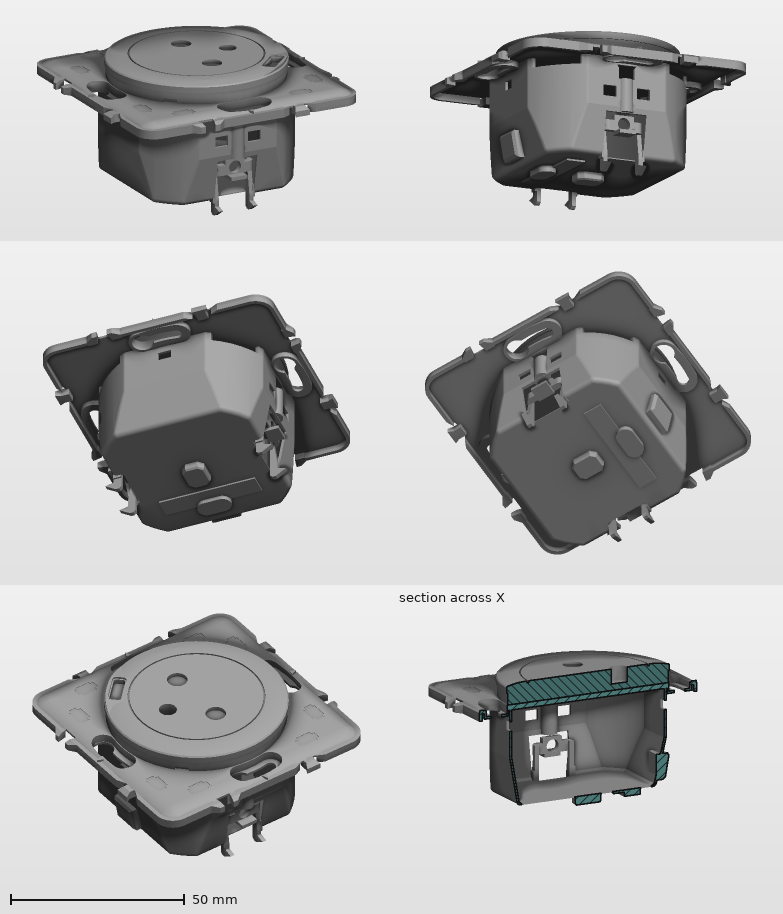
import cadquery as cq
import math


PLATE_HALF = 35.5
SHOULDER_HALF = 34.1
FLAT_HALF = 29.8
RIM_HEIGHT = 2.6
DOME_MID_HALF = 32.1
DOME_MID_Z = 3.5
PLATE_TOP = 3.85
PLATE_UNDERSIDE = 2.1
RIM_WALL = 1.1

SLOT_RADIUS = FLAT_HALF
SLOT_SPREAD = 5.2
SLOT_WIDTH = 3.25
SCREW_HEAD_HOLE = 6.4
RECESS_WIDTH = 6.7
RECESS_FLOOR = 1.25
SLOT_BOSS_WALL = 0.75
SLOT_BOSS_WIDTH = RECESS_WIDTH + 2 * SLOT_BOSS_WALL
SLOT_BOSS_BOTTOM = 0.45

CONNECTOR_OFFSET = 15.0
CONNECTOR_REACH = 37.05
CONNECTOR_ROOT = 33.0
CONNECTOR_SPAN = 5.2
DOVETAIL_WIDE = 2.3
DOVETAIL_NECK = 1.55
TAB_TIP_HEIGHT = 1.7
HORN_GAP_ROOT = 33.8
HORN_TIP_WIDTH = 3.1
HORN_TIP_HEIGHT = 1.9
MARK_OFFSET = 19.1
MARK_LENGTH = 6.8
MARK_INNER_LENGTH = 4.75
MARK_DEPTH = 0.15
MARK_WIDTH = 4.1
MARK_SIDE_WIDTH = 2.5
MARK_SIDE_INSET = 0.6
ARROW_WIDTH = 1.6
ARROW_BASE = 33.35
ARROW_TIP = 35.35
ARROW_TOP = 3.3

HOUSING_HALF = 25.5
HOUSING_CORNER_RADIUS = 28.4
HOUSING_BOTTOM = -26.7
TAPER_START = -12.45
BOTTOM_HALF = 23
REAR_BOTTOM_HALF = 22.1
WALL = 0.8
FLOOR = 0.3
CORNER_BLEND = 1.5
BOTTOM_BLEND = 1.5
CORNER_GAP = 0.75
WALL_TAB_HALF = 14.1

FRONT_WINDOW = (3.9, 2.7)
FRONT_WINDOW_Z = -2.75
SIDE_WINDOW = (4.15, 3.2)
SIDE_WINDOW_Y = 5.3
SIDE_WINDOW_Z = -8.0
SCREW_RADIUS = 2.45
SCREW_REACH = 26.6
SCREW_TOP = -4.1
SCREW_BOTTOM = -13.85
NOTCH_MOUTH = 3.1
NOTCH_MOUTH_DEPTH = 1.0
CLAW_OPENING_HALF = 6.45
CLAW_OPENING_TOP = -14.0
CLAW_OPENING_INNER = 20

BAR_OUTER = 23.7
BAR_THICKNESS = 1.85
BAR_TOP = -16.1
BAR_BOTTOM = -19.2
BAR_BEND = 1.8
BAR_TAB_HALF = 3.1
BAR_TAB_TOP = -14.5
CLAW_HOLE_RADIUS = 1.9
CLAW_HOLE_Z = -17.1
LIP_HALF = 2.6
LIP_REACH = 26.3
LIP_BOTTOM = -20.3
LEG_OUTER_Y = 6.3
LEG_THICKNESS = 1.3
LEG_INNER_X = 20.75
LEG_WAIST_X = 23.1
FOOT_TIP = (25.7, -29.2)
FOOT_HEEL_X = 22.5
ANKLE_Z = -28.45
TOE_CHAMFER = 0.75
CLAW_BOTTOM = -31.3
JAW_Y = (6.15, 6.8)
JAW_Z = (-27.4, -23.7)

REAR_TERMINAL_WIDTH = 8.9
REAR_TERMINAL_REACH = 26.5
REAR_TERMINAL_TOP = -17.1
REAR_TERMINAL_BOTTOM = -25.0
REAR_TERMINAL_SLANT = 1.4
REAR_TERMINAL_CHAMFER = 0.75
CENTRE_STUD = (6.8, 8.45)
CENTRE_STUD_BOTTOM = -29.05
CENTRE_STUD_CHAMFER = 1.5
CENTRE_STUD_BEVEL = 0.45
EARTH_STUD = (10.2, 5.4)
EARTH_STUD_Y = 14.4
EARTH_STUD_BOTTOM = -28.45
STRIP = (29.65, 5.7)
STRIP_Y = 11.05
STRIP_BOTTOM = -27.2

COVER_RADIUS = 26.6
SKIRT_RADIUS = 26.2
LIP_Z = 7.25
COVER_EDGE_Z = 9.4
COVER_CHAMFER = 0.4
COVER_TOP = 10.2
CONE_MID_RADIUS = 23.35
CONE_MID_Z = 10.0
FACE_RADIUS = 19.35
GROOVE_WIDTH = 0.5
GROOVE_DEPTH = 0.5
PIN_RADIUS = 3
PIN_OFFSET = 9.5
PIN_DEPTH = 1.25
EARTH_PIN_RADIUS = 2.6
EARTH_PIN_OFFSET = 10.15
EARTH_PIN_DEPTH = 4.45
LAMP_ANGLE = 45
LAMP_PLATFORM_TOP = 5.3
LAMP_PLATFORM_BASE = 11.1
LAMP_RADIUS = 23.1
LAMP_WINDOW = (4.15, 10.4)
LAMP_CORNER = 1.2
LAMP_DEPTH = 2.2
LAMP_LEDGE = 0.4
LAMP_LEDGE_DEPTH = 0.7
GRIP_ANGLE = -45
GRIP_NOTCH = (4.15, 1.2)
GRIP_DEPTH = 0.75

QUARTER_TURNS = (0, 90, 180, 270)
HALF_TURNS = (0, 180)


def box(x_range, y_range, z_range):
    """Axis-aligned box between the given limits."""
    size = [limits[1] - limits[0] for limits in (x_range, y_range, z_range)]
    corner = (x_range[0], y_range[0], z_range[0])
    return cq.Workplane("XY").box(*size, centered=False).translate(corner)


def prism(points, bottom, top):
    """Upright prism over a plan outline."""
    return cq.Workplane("XY").workplane(offset=bottom).polyline(points).close().extrude(top - bottom)


def turned(body, angle):
    """Copy of a body turned about the Z axis."""
    return body.rotate((0, 0, 0), (0, 0, 1), angle)


def mirrored_outline(half_outline):
    """Closed symmetric outline from its right-hand half."""
    return half_outline + [(-across, along) for across, along in reversed(half_outline)]



def border_section():
    """Section of the domed border, from the edge of the flat top out to the rim."""
    return (
        cq.Workplane("XZ")
        .moveTo(FLAT_HALF, 0)
        .lineTo(PLATE_HALF, 0)
        .lineTo(PLATE_HALF, RIM_HEIGHT)
        .lineTo(SHOULDER_HALF, RIM_HEIGHT)
        .threePointArc((DOME_MID_HALF, DOME_MID_Z), (FLAT_HALF, PLATE_TOP))
        .close()
    )


def plate_shell():
    border = border_section().extrude(FLAT_HALF, both=True)
    corner = border_section().revolve(90, (FLAT_HALF, 0, 0), (FLAT_HALF, 1, 0))
    border = border.union(corner.translate((0, FLAT_HALF, 0)))
    flat_limits = (-FLAT_HALF, FLAT_HALF)
    plate = box(flat_limits, flat_limits, (0, PLATE_TOP))
    for angle in QUARTER_TURNS:
        plate = plate.union(turned(border, angle))
    inner_side = 2 * (PLATE_HALF - RIM_WALL)
    cavity = (
        cq.Workplane("XY")
        .rect(inner_side, inner_side)
        .extrude(PLATE_UNDERSIDE)
        .edges("|Z")
        .fillet(PLATE_HALF - FLAT_HALF - RIM_WALL)
    )
    return plate.cut(cavity)


def curved_slot(width, bottom, top):
    """Round-ended slot following a circle about the plate centre."""
    half_angle = math.asin(SLOT_SPREAD / SLOT_RADIUS)
    inner = SLOT_RADIUS - width / 2
    outer = SLOT_RADIUS + width / 2

    def at(radius, angle):
        return (radius * math.sin(angle), radius * math.cos(angle))

    def beyond(side):
        """Tip of the round end on the given side."""
        end_x, end_y = at(SLOT_RADIUS, side * half_angle)
        return (
            end_x + side * width / 2 * math.cos(half_angle),
            end_y - width / 2 * math.sin(half_angle),
        )

    return (
        cq.Workplane("XY").workplane(offset=bottom)
        .moveTo(*at(outer, -half_angle))
        .threePointArc((0, outer), at(outer, half_angle))
        .threePointArc(beyond(1), at(inner, half_angle))
        .threePointArc((0, inner), at(inner, -half_angle))
        .threePointArc(beyond(-1), at(outer, -half_angle))
        .close()
        .extrude(top - bottom)
    )


def slot_boss():
    return curved_slot(SLOT_BOSS_WIDTH, SLOT_BOSS_BOTTOM, PLATE_UNDERSIDE)


def slot_cut():
    recess = curved_slot(RECESS_WIDTH, RECESS_FLOOR, PLATE_TOP)
    slot = curved_slot(SLOT_WIDTH, 0, PLATE_TOP)
    end_y = math.sqrt(SLOT_RADIUS**2 - SLOT_SPREAD**2)
    head_hole = (
        cq.Workplane("XY").center(SLOT_SPREAD, end_y).circle(SCREW_HEAD_HOLE / 2).extrude(PLATE_TOP)
    )
    return recess.union(slot).union(head_hole)


def tab_notch():
    """Opening in the rim around the dovetail tab."""
    outline = mirrored_outline([(DOVETAIL_WIDE, SHOULDER_HALF), (CONNECTOR_SPAN, PLATE_HALF)])
    return prism(outline, 0, PLATE_TOP).translate((-CONNECTOR_OFFSET, 0, 0))


def sloped_slab(root, tip_height):
    """Slab as high as the rim, sloping down beyond it to the connector tips."""
    section = [
        (root, 0),
        (CONNECTOR_REACH, 0),
        (CONNECTOR_REACH, tip_height),
        (PLATE_HALF, RIM_HEIGHT),
        (root, RIM_HEIGHT),
    ]
    return cq.Workplane("YZ").polyline(section).close().extrude(CONNECTOR_SPAN, both=True)


def dovetail_tab():
    plan = mirrored_outline([
        (DOVETAIL_NECK, CONNECTOR_ROOT),
        (DOVETAIL_NECK, PLATE_HALF),
        (DOVETAIL_WIDE, CONNECTOR_REACH),
    ])
    tab = prism(plan, 0, RIM_HEIGHT).intersect(sloped_slab(CONNECTOR_ROOT, TAB_TIP_HEIGHT))
    return tab.translate((-CONNECTOR_OFFSET, 0, 0))


def horns():
    """Pair of hooks, before the dovetail gap between them is cut."""
    plan = mirrored_outline([
        (CONNECTOR_SPAN, SHOULDER_HALF),
        (CONNECTOR_SPAN, PLATE_HALF),
        (HORN_TIP_WIDTH, CONNECTOR_REACH),
    ])
    pair = prism(plan, 0, RIM_HEIGHT).intersect(sloped_slab(SHOULDER_HALF, HORN_TIP_HEIGHT))
    return pair.translate((CONNECTOR_OFFSET, 0, 0))


def horn_gap():
    outline = mirrored_outline([(DOVETAIL_WIDE, HORN_GAP_ROOT), (DOVETAIL_NECK, CONNECTOR_REACH)])
    return prism(outline, 0, PLATE_TOP).translate((CONNECTOR_OFFSET, 0, 0))


def cross_marks():
    """Two shallow cross-shaped marks along one side of the flat top."""
    bottom = PLATE_TOP - MARK_DEPTH
    inner_y = FLAT_HALF - MARK_WIDTH
    side_y = FLAT_HALF - MARK_SIDE_INSET
    marks = cq.Workplane("XY")
    for x in (-MARK_OFFSET, MARK_OFFSET):
        middle = box(
            (x - MARK_INNER_LENGTH / 2, x + MARK_INNER_LENGTH / 2),
            (inner_y, FLAT_HALF), (bottom, PLATE_TOP),
        )
        arms = box(
            (x - MARK_LENGTH / 2, x + MARK_LENGTH / 2),
            (side_y - MARK_SIDE_WIDTH, side_y), (bottom, PLATE_TOP),
        )
        marks = marks.add(middle.union(arms))
    return marks.combine()


def arrow_mark():
    """Small raised arrowhead on the shoulder at the middle of a side."""
    outline = [(-ARROW_WIDTH / 2, ARROW_BASE), (ARROW_WIDTH / 2, ARROW_BASE), (0, ARROW_TIP)]
    return prism(outline, (PLATE_UNDERSIDE + RIM_HEIGHT) / 2, ARROW_TOP)


def mounting_plate():
    plate = plate_shell()
    added = slot_boss().union(horns()).union(arrow_mark())
    removed = [slot_cut(), tab_notch(), horn_gap(), cross_marks()]
    tab = dovetail_tab()
    for angle in QUARTER_TURNS:
        plate = plate.union(turned(added, angle))
        for cutter in removed:
            plate = plate.cut(turned(cutter, angle))
        plate = plate.union(turned(tab, angle))
    return plate



def tapered_block(inset, bottom):
    """Square block tapering downwards, its corners cut by a round column."""
    half = HOUSING_HALF - inset
    depth_share = (TAPER_START - bottom) / (TAPER_START - HOUSING_BOTTOM)
    bottom_half = half - (HOUSING_HALF - BOTTOM_HALF) * depth_share
    rear_bottom_half = half - (HOUSING_HALF - REAR_BOTTOM_HALF) * depth_share
    upper = [(half, TAPER_START), (half, PLATE_UNDERSIDE), (-half, PLATE_UNDERSIDE), (-half, TAPER_START)]
    width_section = [(-bottom_half, bottom), (bottom_half, bottom)] + upper
    depth_section = [(-bottom_half, bottom), (rear_bottom_half, bottom)] + upper
    across_x = cq.Workplane("XZ").polyline(width_section).close().extrude(PLATE_HALF, both=True)
    across_y = cq.Workplane("YZ").polyline(depth_section).close().extrude(PLATE_HALF, both=True)
    column = (
        cq.Workplane("XY").workplane(offset=bottom)
        .circle(HOUSING_CORNER_RADIUS - inset)
        .extrude(PLATE_UNDERSIDE - bottom)
    )
    return across_x.intersect(across_y).intersect(column)


def housing_shell():
    low_corner = (-PLATE_HALF, -PLATE_HALF, HOUSING_BOTTOM + FLOOR)
    high_corner = (PLATE_HALF, PLATE_HALF, PLATE_UNDERSIDE - FLOOR)
    side_edges = cq.selectors.BoxSelector(low_corner, high_corner)
    outside = tapered_block(0, HOUSING_BOTTOM)
    outside = outside.edges(side_edges).edges("not(#Z)").fillet(CORNER_BLEND)
    outside = outside.faces("<Z").edges().fillet(BOTTOM_BLEND)
    cavity = tapered_block(WALL, HOUSING_BOTTOM + FLOOR)
    cavity = cavity.faces("<Z").edges().chamfer(BOTTOM_BLEND / 2)
    shell = outside.cut(cavity)
    corner_limits = (WALL_TAB_HALF, PLATE_HALF)
    corner = box(corner_limits, corner_limits, (-CORNER_GAP, PLATE_UNDERSIDE))
    for angle in QUARTER_TURNS:
        shell = shell.cut(turned(corner, angle))
    return shell


def front_and_rear_windows():
    return (
        cq.Workplane("XZ").center(0, FRONT_WINDOW_Z).rect(*FRONT_WINDOW).extrude(PLATE_HALF, both=True)
    )


def side_windows():
    return (
        cq.Workplane("YZ")
        .pushPoints([(-SIDE_WINDOW_Y, SIDE_WINDOW_Z), (SIDE_WINDOW_Y, SIDE_WINDOW_Z)])
        .rect(*SIDE_WINDOW)
        .extrude(PLATE_HALF, both=True)
    )


def screw_notch():
    """Opening above the claw screws, flared where it meets the plate."""
    outline = mirrored_outline([
        (SCREW_RADIUS, SCREW_TOP), (SCREW_RADIUS, -NOTCH_MOUTH_DEPTH), (NOTCH_MOUTH, 0),
    ])
    return cq.Workplane("YZ").polyline(outline).close().extrude(SCREW_REACH, both=True)


def screw_column():
    return (
        cq.Workplane("XY").workplane(offset=SCREW_BOTTOM)
        .center(SCREW_REACH - SCREW_RADIUS, 0)
        .circle(SCREW_RADIUS)
        .extrude(SCREW_TOP - SCREW_BOTTOM)
    )


def claw_opening():
    return box(
        (CLAW_OPENING_INNER, PLATE_HALF),
        (-CLAW_OPENING_HALF, CLAW_OPENING_HALF),
        (HOUSING_BOTTOM, CLAW_OPENING_TOP),
    )


def claw_leg():
    """Flat leg with a barbed foot, on the +Y side of the claw."""
    bend_x = BAR_OUTER - BAR_BEND
    outline = [
        (bend_x, BAR_TOP),
        (bend_x, BAR_BOTTOM),
        (LEG_WAIST_X, HOUSING_BOTTOM),
        (LEG_WAIST_X, ANKLE_Z),
        FOOT_TIP,
        (FOOT_HEEL_X, CLAW_BOTTOM),
        (LEG_INNER_X + TOE_CHAMFER, CLAW_BOTTOM),
        (LEG_INNER_X, CLAW_BOTTOM + TOE_CHAMFER),
        (LEG_INNER_X, BAR_TOP),
    ]
    return (
        cq.Workplane("XZ", origin=(0, LEG_OUTER_Y, 0)).polyline(outline).close().extrude(LEG_THICKNESS)
    )


def claw():
    """Screw bracket with two legs, on the +X side."""
    bar_x = (BAR_OUTER - BAR_THICKNESS, BAR_OUTER)
    bracket = box(bar_x, (-LEG_OUTER_Y, LEG_OUTER_Y), (BAR_BOTTOM, BAR_TOP))
    bracket = bracket.edges("|Z and >X").fillet(BAR_BEND)
    bracket = bracket.union(box(bar_x, (-BAR_TAB_HALF, BAR_TAB_HALF), (BAR_BOTTOM, BAR_TAB_TOP)))
    hole = cq.Workplane("YZ").center(0, CLAW_HOLE_Z).circle(CLAW_HOLE_RADIUS).extrude(PLATE_HALF)
    bracket = bracket.cut(hole)
    lip = box((bar_x[0], LIP_REACH), (-LIP_HALF, LIP_HALF), (LIP_BOTTOM, BAR_BOTTOM))
    jaw = box((LEG_INNER_X, LEG_WAIST_X), JAW_Y, JAW_Z)
    side = claw_leg().union(jaw)
    return bracket.union(lip).union(side).union(side.mirror("XZ"))


def rear_terminal():
    bottom_reach = REAR_TERMINAL_REACH - REAR_TERMINAL_SLANT
    root = REAR_BOTTOM_HALF
    outline = [
        (root, REAR_TERMINAL_BOTTOM),
        (bottom_reach, REAR_TERMINAL_BOTTOM),
        (REAR_TERMINAL_REACH, REAR_TERMINAL_TOP),
        (root, REAR_TERMINAL_TOP),
    ]
    block = cq.Workplane("YZ").polyline(outline).close().extrude(REAR_TERMINAL_WIDTH / 2, both=True)
    return block.faces(">Y").edges().chamfer(REAR_TERMINAL_CHAMFER)


def bottom_terminals():
    start = HOUSING_BOTTOM + FLOOR
    floor = cq.Workplane("XY").workplane(offset=start)
    centre = (
        floor.rect(*CENTRE_STUD).extrude(CENTRE_STUD_BOTTOM - start)
        .edges("|Z").chamfer(CENTRE_STUD_CHAMFER)
        .faces("<Z").edges().chamfer(CENTRE_STUD_BEVEL)
    )
    earth = floor.center(0, EARTH_STUD_Y).slot2D(*EARTH_STUD).extrude(EARTH_STUD_BOTTOM - start)
    strip = floor.center(0, STRIP_Y).rect(*STRIP).extrude(STRIP_BOTTOM - start)
    return centre.union(earth).union(strip)


def make_base():
    """Mounting plate, housing, claws and terminals as one body."""
    housing = housing_shell().cut(front_and_rear_windows()).cut(side_windows()).cut(screw_notch())
    for angle in HALF_TURNS:
        housing = housing.union(turned(screw_column(), angle))
        housing = housing.cut(turned(claw_opening(), angle))
        housing = housing.union(turned(claw(), angle))
    housing = housing.union(rear_terminal()).union(bottom_terminals())
    return mounting_plate().union(housing)



def cover_disc():
    groove_outer = FACE_RADIUS + GROOVE_WIDTH
    groove_floor = COVER_TOP - GROOVE_DEPTH
    return (
        cq.Workplane("XZ")
        .moveTo(0, PLATE_TOP)
        .lineTo(SKIRT_RADIUS, PLATE_TOP)
        .lineTo(SKIRT_RADIUS, LIP_Z)
        .lineTo(COVER_RADIUS, LIP_Z)
        .lineTo(COVER_RADIUS, COVER_EDGE_Z - COVER_CHAMFER)
        .lineTo(COVER_RADIUS - COVER_CHAMFER, COVER_EDGE_Z)
        .threePointArc((CONE_MID_RADIUS, CONE_MID_Z), (groove_outer, COVER_TOP))
        .lineTo(groove_outer, groove_floor)
        .lineTo(FACE_RADIUS, groove_floor)
        .lineTo(FACE_RADIUS, COVER_TOP)
        .lineTo(0, COVER_TOP)
        .close()
        .revolve(360, (0, 0, 0), (0, 1, 0))
    )


def lamp_platform():
    """Raised level patch on the sloping ring, built along +X."""
    inner = FACE_RADIUS + GROOVE_WIDTH
    section = mirrored_outline([
        (LAMP_PLATFORM_BASE, COVER_EDGE_Z), (LAMP_PLATFORM_TOP, COVER_TOP),
    ])
    bar = cq.Workplane("YZ").polyline(section).close().extrude(COVER_RADIUS)
    ring = (
        cq.Workplane("XY").workplane(offset=COVER_EDGE_Z)
        .circle(COVER_RADIUS - COVER_CHAMFER).circle(inner)
        .extrude(COVER_TOP - COVER_EDGE_Z)
    )
    return bar.intersect(ring)


def rounded_pocket(inset, depth):
    """Cutter for the lamp opening, shrunk all round by the inset."""
    width, length = LAMP_WINDOW
    return (
        cq.Workplane("XY").workplane(offset=COVER_TOP - depth)
        .center(LAMP_RADIUS, 0)
        .rect(width - 2 * inset, length - 2 * inset)
        .extrude(depth)
        .edges("|Z")
        .fillet(LAMP_CORNER - inset)
    )


def lamp_window():
    return rounded_pocket(0, LAMP_LEDGE_DEPTH).union(rounded_pocket(LAMP_LEDGE, LAMP_DEPTH))


def grip_notch():
    width, height = GRIP_NOTCH
    return box(
        (SKIRT_RADIUS - GRIP_DEPTH, SKIRT_RADIUS), (-width / 2, width / 2), (PLATE_TOP, PLATE_TOP + height)
    )


def make_cover():
    cover = cover_disc().union(turned(lamp_platform(), LAMP_ANGLE))
    cover = cover.cut(turned(lamp_window(), LAMP_ANGLE))
    for angle in HALF_TURNS:
        cover = cover.cut(turned(grip_notch(), GRIP_ANGLE + angle))
    face = cq.Workplane("XY").workplane(offset=COVER_TOP)
    live_pins = face.pushPoints([(-PIN_OFFSET, 0), (PIN_OFFSET, 0)]).circle(PIN_RADIUS).extrude(-PIN_DEPTH)
    earth_pin = face.center(0, EARTH_PIN_OFFSET).circle(EARTH_PIN_RADIUS).extrude(-EARTH_PIN_DEPTH)
    return cover.cut(live_pins).cut(earth_pin)


base = make_base()
cover = make_cover()
result = cq.Compound.makeCompound([base.val(), cover.val()])